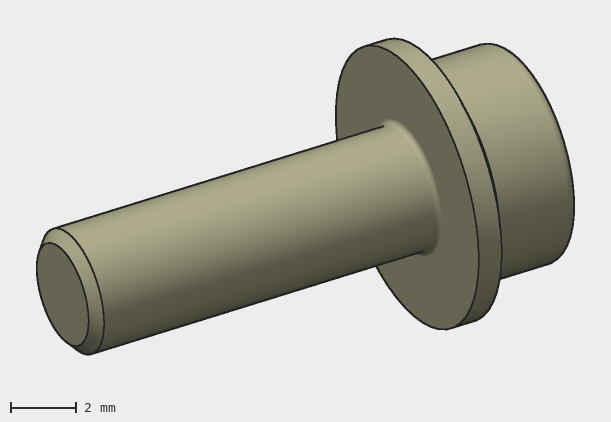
import cadquery as cq

total_length = 16.0
head_height = 4.0
shank_length = total_length - head_height

shank_radius = 4.0 / 2
head_radius = 7.0 / 2
flange_radius = 9.0 / 2

flange_rim_height = 0.8
flange_cone_height = 0.48
head_edge_radius = 0.3
neck_fillet_radius = 0.2
tip_chamfer_length = 0.34
tip_radius = shank_radius - 0.37

arc_mid = 0.5 ** 0.5
neck_mid_offset = neck_fillet_radius * (1 - arc_mid)
head_mid_offset = head_edge_radius * (1 - arc_mid)

result = (
    cq.Workplane("XY")
    .moveTo(0, -shank_length)
    .lineTo(tip_radius, -shank_length)
    .lineTo(shank_radius, -shank_length + tip_chamfer_length)
    .lineTo(shank_radius, -neck_fillet_radius)
    .threePointArc(
        (shank_radius + neck_mid_offset, -neck_mid_offset),
        (shank_radius + neck_fillet_radius, 0),
    )
    .lineTo(flange_radius, 0)
    .lineTo(flange_radius, flange_rim_height)
    .lineTo(head_radius, flange_rim_height + flange_cone_height)
    .lineTo(head_radius, head_height - head_edge_radius)
    .threePointArc(
        (head_radius - head_mid_offset, head_height - head_mid_offset),
        (head_radius - head_edge_radius, head_height),
    )
    .lineTo(0, head_height)
    .close()
    .revolve(360, (0, 0, 0), (0, 1, 0))
)